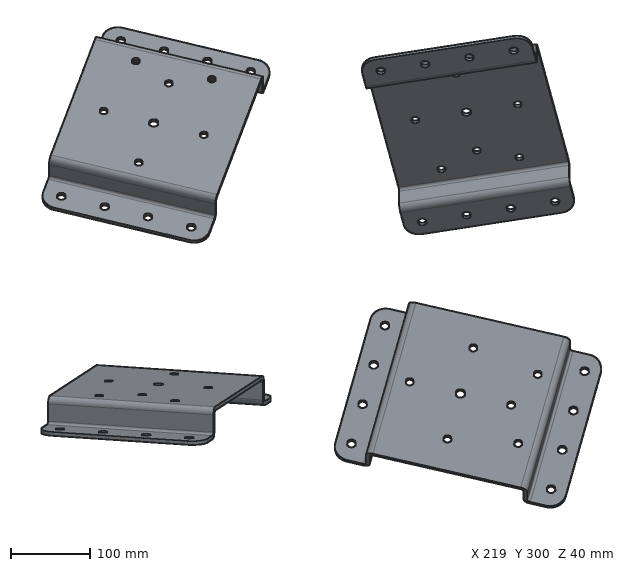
import cadquery as cq

width = 219.0
length = 300.0
height = 40.0
thickness = 5.0
inner_bend_radius = 3.5
outer_bend_radius = inner_bend_radius + thickness
corner_radius = 20.0

platform_length = 210.0

flange_hole_diameter = 11.0
flange_hole_pitch = 57.0
flange_hole_count = 4
flange_hole_edge_distance = 20.0

pattern_center_y = -10.0
center_hole_diameter = 12.0
platform_hole_diameter = 10.2
cross_hole_distance = 66.0
upper_hole_x = 50.0
upper_hole_distance = 88.0


def box(y_min, y_max, z_min, z_max):
    """Full-width block between the given Y and Z limits."""
    return cq.Workplane("XY").box(width, y_max - y_min, z_max - z_min).translate(
        (0, (y_min + y_max) / 2, (z_min + z_max) / 2)
    )


def bent_sheet():
    """Hat section: two flanges on the base plane joined by a raised platform."""
    half_platform = platform_length / 2
    half_inside = half_platform - thickness
    body = box(-length / 2, length / 2, 0, thickness)
    body = body.union(box(-half_platform, half_platform, 0, height))
    edge_margin = thickness / 10
    foot_bends = cq.selectors.BoxSelector(
        (-width, -half_platform - edge_margin, thickness - edge_margin),
        (width, half_platform + edge_margin, thickness + edge_margin),
    )
    body = body.edges("|X").edges(foot_bends).fillet(inner_bend_radius)
    body = body.edges("|X and >Z").fillet(outer_bend_radius)

    bend_end = half_inside + outer_bend_radius
    platform_underside = height - thickness
    hollow = box(-half_inside, half_inside, 0, platform_underside)
    hollow = hollow.edges("|X and >Z").fillet(inner_bend_radius)
    flare = box(-bend_end, bend_end, 0, outer_bend_radius)
    for side in (-1, 1):
        bend = (
            cq.Workplane("YZ")
            .center(side * bend_end, outer_bend_radius)
            .circle(outer_bend_radius)
            .extrude(width / 2, both=True)
        )
        flare = flare.cut(bend)
    return body.cut(hollow).cut(flare)


def holes(points, diameter):
    """Vertical cutters through the full height at the given points."""
    return cq.Workplane("XY").pushPoints(points).circle(diameter / 2).extrude(height)


def flange_hole_points():
    """One row of evenly spaced holes along each flange."""
    row_y = length / 2 - flange_hole_edge_distance
    first_x = -flange_hole_pitch * (flange_hole_count - 1) / 2
    return [
        (first_x + i * flange_hole_pitch, side * row_y)
        for side in (-1, 1)
        for i in range(flange_hole_count)
    ]


def platform_hole_points():
    """A four-hole cross and a pair of holes near the +Y end of the platform."""
    points = []
    for side in (-1, 1):
        points.append((side * cross_hole_distance, pattern_center_y))
        points.append((0, pattern_center_y + side * cross_hole_distance))
        points.append((side * upper_hole_x, pattern_center_y + upper_hole_distance))
    return points


bracket = bent_sheet()

bracket = bracket.intersect(
    cq.Workplane("XY").rect(width, length).extrude(height).edges("|Z").fillet(corner_radius)
)

bracket = bracket.cut(holes(flange_hole_points(), flange_hole_diameter))
bracket = bracket.cut(holes(platform_hole_points(), platform_hole_diameter))
result = bracket.cut(holes([(0, pattern_center_y)], center_hole_diameter))